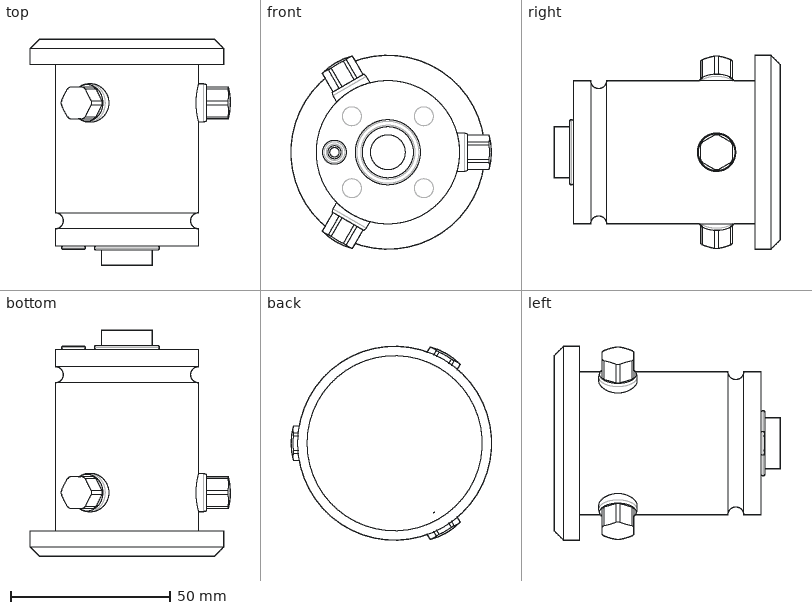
import cadquery as cq
import math

total_length = 71.0
flange_radius = 30.45
flange_thickness = 8.0
flange_chamfer = 3.0

body_radius = 22.5
body_length = 65.0
groove_center = 57.0
groove_radius = 2.5

shaft_radius = 8.0
shaft_bore_radius = 5.5
shaft_bore_depth = 5.0

ring_rounding = 0.5

seal_radius = 10.2
seal_rim_wall = 0.2

pin_radius = 3.0
pin_depth = 7.1
pin_offset = 11.3

port_center_x = -16.75
port_ring_radius = 3.75
port_ring_inner_radius = 2.05
port_bore_radius = 1.5
port_bore_depth = 2.0

fitting_count = 3
fitting_center = 20.0
fitting_reach = 32.5
collar_radius = 6.0
collar_end_radius = 5.75
collar_reach = 25.0
collar_taper = 1.0
hex_sides = 6
hex_across_flats = 10.0
hex_corner_radius = 5.5
hex_dome_height = 0.8


def revolve_about_y(profile):
    """Revolve a closed profile drawn in the XY plane about the Y axis."""
    return profile.close().revolve(360, (0, 0, 0), (0, 1, 0))


def make_body():
    """Flange with a chamfered rear rim, and the cylinder with its round groove."""
    profile = (
        cq.Workplane("XY")
        .lineTo(flange_radius - flange_chamfer, 0)
        .lineTo(flange_radius, -flange_chamfer)
        .lineTo(flange_radius, -flange_thickness)
        .lineTo(body_radius, -flange_thickness)
        .lineTo(body_radius, groove_radius - groove_center)
        .threePointArc(
            (body_radius - groove_radius, -groove_center),
            (body_radius, -groove_center - groove_radius),
        )
        .lineTo(body_radius, -body_length)
        .lineTo(0, -body_length)
    )
    return revolve_about_y(profile)


def make_shaft():
    """Hollow shaft end standing on the front face of the body."""
    shaft = (
        cq.Workplane("XZ", origin=(0, -body_length, 0))
        .circle(shaft_radius)
        .extrude(total_length - body_length)
    )
    bore = (
        cq.Workplane("XZ", origin=(0, shaft_bore_depth - total_length, 0))
        .circle(shaft_bore_radius)
        .extrude(shaft_bore_depth)
    )
    return shaft.cut(bore)


def make_rounded_ring(inner_radius, outer_radius, rim_wall=0):
    """Ring on the front face, rounded on all four edges, with side walls of height rim_wall."""
    height = 2 * ring_rounding + rim_wall
    inner_edge = inner_radius + ring_rounding
    outer_edge = outer_radius - ring_rounding
    wall_start = -body_length - ring_rounding
    wall_end = wall_start - rim_wall
    ring_front = -body_length - height

    profile = cq.Workplane("XY").moveTo(inner_edge, -body_length).lineTo(outer_edge, -body_length)
    profile = profile.radiusArc((outer_radius, wall_start), ring_rounding)
    if rim_wall > 0:
        profile = profile.lineTo(outer_radius, wall_end)
    profile = profile.radiusArc((outer_edge, ring_front), ring_rounding)
    profile = profile.lineTo(inner_edge, ring_front)
    profile = profile.radiusArc((inner_radius, wall_end), ring_rounding)
    if rim_wall > 0:
        profile = profile.lineTo(inner_radius, wall_start)
    profile = profile.radiusArc((inner_edge, -body_length), ring_rounding)
    return revolve_about_y(profile)


def make_port_bore():
    """Blind bore in the front face, inside the small ring."""
    return (
        cq.Workplane("XZ", origin=(port_center_x, port_bore_depth - body_length, 0))
        .circle(port_bore_radius)
        .extrude(port_bore_depth)
    )


def make_fitting():
    """Domed hexagonal fitting on a tapered collar, pointing along +X from the main axis."""
    collar_profile = (
        cq.Workplane("XY")
        .lineTo(0, collar_radius)
        .lineTo(collar_reach - collar_taper, collar_radius)
        .lineTo(collar_reach, collar_end_radius)
        .lineTo(collar_reach, 0)
        .close()
    )
    collar = collar_profile.revolve(360, (0, 0, 0), (1, 0, 0))

    corner_diameter = hex_across_flats / math.cos(math.pi / hex_sides)
    hexagon = (
        cq.Workplane("YZ")
        .transformed(rotate=(0, 0, 90))
        .polygon(hex_sides, corner_diameter)
        .extrude(fitting_reach)
    )
    dome_start = fitting_reach - hex_dome_height
    dome_radius = (hex_corner_radius**2 + hex_dome_height**2) / (2 * hex_dome_height)
    dome_angle = math.asin(hex_corner_radius / dome_radius) / 2
    dome_middle = (
        fitting_reach - dome_radius * (1 - math.cos(dome_angle)),
        dome_radius * math.sin(dome_angle),
    )
    domed_bar = (
        cq.Workplane("XY")
        .lineTo(0, hex_corner_radius)
        .lineTo(dome_start, hex_corner_radius)
        .threePointArc(dome_middle, (fitting_reach, 0))
        .close()
        .revolve(360, (0, 0, 0), (1, 0, 0))
    )
    head = hexagon.intersect(domed_bar)
    return collar.union(head).translate((0, -fitting_center, 0))


def make_pins():
    """Four pins whose ends lie flush with the front face of the body."""
    return (
        cq.Workplane("XZ", origin=(0, pin_depth - body_length, 0))
        .rect(2 * pin_offset, 2 * pin_offset, forConstruction=True)
        .vertices()
        .circle(pin_radius)
        .extrude(pin_depth)
    )


seal = make_rounded_ring(shaft_radius, seal_radius, seal_rim_wall)
port_ring = make_rounded_ring(port_ring_inner_radius, port_ring_radius)
port_ring = port_ring.translate((port_center_x, 0, 0))

result = make_body().union(make_shaft()).union(seal).union(port_ring)
result = result.cut(make_port_bore())

fitting = make_fitting()
for index in range(fitting_count):
    angle = index * 360 / fitting_count
    result = result.union(fitting.rotate((0, 0, 0), (0, 1, 0), angle))

pins = make_pins()
result = result.cut(pins).union(pins, clean=False)